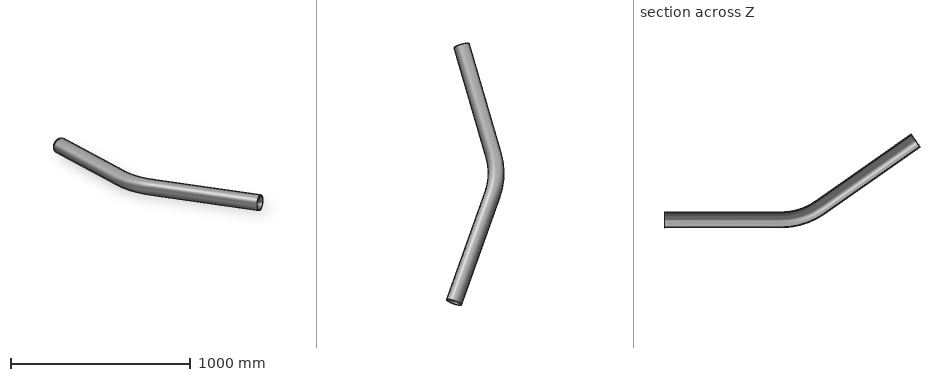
import cadquery as cq
import math

OUTER_DIAMETER = 88.9
WALL_THICKNESS = 5.5
LEG_LENGTH = 650.0
BEND_RADIUS = 375.0
BEND_ANGLE = 35.0

inner_diameter = OUTER_DIAMETER - 2 * WALL_THICKNESS


def point_on_bend(angle_degrees):
    """Centreline point after turning the given angle into the bend."""
    angle = math.radians(angle_degrees)
    x = LEG_LENGTH + BEND_RADIUS * math.sin(angle)
    y = BEND_RADIUS * (1 - math.cos(angle))
    return x, y


def make_centreline():
    """Straight leg, tangent arc and straight leg in the XY plane."""
    bend_start = point_on_bend(0)
    bend_middle = point_on_bend(BEND_ANGLE / 2)
    bend_end = point_on_bend(BEND_ANGLE)
    return (
        cq.Workplane("XY")
        .lineTo(*bend_start)
        .threePointArc(bend_middle, bend_end)
        .polarLine(LEG_LENGTH, BEND_ANGLE)
    )


def make_tube():
    """Sweep the ring-shaped section along the centreline."""
    section = cq.Workplane("YZ").circle(OUTER_DIAMETER / 2).circle(inner_diameter / 2)
    return section.sweep(make_centreline())


result = make_tube()